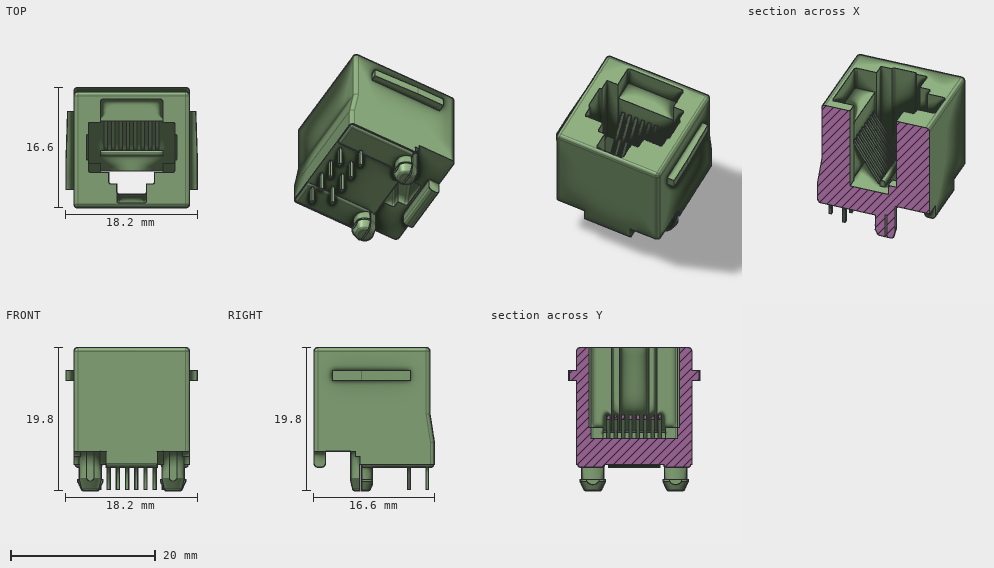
import cadquery as cq
import math


BODY_WIDTH = 15.97
BODY_HEIGHT = 16.54
OVERALL_HEIGHT = 19.81
BASE_DEPTH = 16.64
UPPER_DEPTH = 16.03
SLOPE_TOP = 7.39
SLOPE_BOTTOM = 3.45
EDGE_RADIUS = 0.55
UNDERSIDE = 0.38
FRONT_UNDERSIDE = 2.19
FRONT_RECESS_DEPTH = 5.74
SIDE_RECESS_DEPTH = 6.36
SIDE_RECESS_TOP = 1.49

RAIL_OUTER_INSET = 0.19
RAIL_BACK_INSET = 0.12
RAIL_WIDTH = 3.72
RAIL_RADIUS = 0.33
TONGUE_WIDTH = 7.06
TONGUE_DEPTH = 1.6

OVERALL_WIDTH = 18.16
RIB_BACK_HALF_WIDTH = 8.86
RIB_BOTTOM = 11.95
RIB_HEIGHT = 1.41
RIB_FRONT = 2.54
RIB_TAPER_START = 6.59
RIB_BACK = 13.33

PLUG_HALF_WIDTH = 5.95
PLUG_FRONT = 4.92
PLUG_BACK = 11.79
PLUG_RADIUS = 0.25
PLUG_BACK_RADIUS = 0.15
GROOVE_HALF_WIDTH = 6.26
GROOVE_FRONT = 6.58
GROOVE_BACK = 10.17
GROOVE_RADIUS = 0.3
SHELF_HALF_WIDTH = 4.3
SHELF_FRONT = 12.03
SHELF_BACK = 15.02
SHELF_LEVEL = 13.2
SHELF_RADIUS = 0.35
KEY_HALF_WIDTH = 3.14
KEY_FRONT = 3.33
LATCH_HALF_WIDTH = 2.04
LATCH_FRONT_TOP = 0.67
LATCH_FRONT_BOTTOM = 2.1
LATCH_RADIUS = 0.36
LEDGE_LEVEL = 5.5
LEDGE_BACK = 6.13
FLOOR_LEVEL = 4.0
FLOOR_FRONT = 5.08

CONTACT_COUNT = 8
CONTACT_PITCH = 1.016
CONTACT_WIDTH = 0.47
CONTACT_THICKNESS = 0.36
CONTACT_TOP = 10.42
CONTACT_FRONT = 7.92
COMB_FRONT = 7.19
COMB_BACK = CONTACT_FRONT
COMB_TOP = 5.0
COMB_RADIUS = 0.33
COMB_TILT = math.radians(30)

PIN_PITCH = 1.27
PIN_WIDTH = CONTACT_WIDTH
PIN_THICKNESS = 0.37
PIN_BOTTOM = -3.1
PIN_FRONT_ROW = 13.13
PIN_BACK_ROW = 15.65

PEG_OFFSET = 5.715
PEG_Y = 6.54
PEG_RADIUS = 1.545
PEG_BOTTOM = BODY_HEIGHT - OVERALL_HEIGHT
PEG_FLAT_Y = 5.08
PEG_TAPER_START = -1.57
PEG_TIP_RADIUS = 1.14
PEG_TIP_FILLET = 0.4
PEG_SPLIT_FRONT = SIDE_RECESS_DEPTH
PEG_SPLIT_BACK = 6.59
BARB_RADIUS = 1.76
BARB_TOP = -1.69
BARB_LIP_BOTTOM = -1.96

BODY_HALF_WIDTH = BODY_WIDTH / 2


def block(x, y, z):
    """Box spanning the given (low, high) range on each axis."""
    size = [high - low for low, high in (x, y, z)]
    return cq.Workplane("XY").box(*size, centered=False).translate((x[0], y[0], z[0]))


def side_prism(outline, width):
    """Extrude a closed YZ outline symmetrically about the plane X = 0."""
    return outline.extrude(width / 2, both=True)


def centered_block(half_width, y, z):
    """Box symmetric about the plane X = 0."""
    return block((-half_width, half_width), y, z)


def shell():
    """Outer housing with its leaning back wall, rounded edges and stepped front underside."""
    profile = cq.Workplane("YZ").polyline([
        (0, UNDERSIDE),
        (0, BODY_HEIGHT),
        (UPPER_DEPTH, BODY_HEIGHT),
        (UPPER_DEPTH, SLOPE_TOP),
        (BASE_DEPTH, SLOPE_BOTTOM),
        (BASE_DEPTH, UNDERSIDE),
    ]).close()
    body = side_prism(profile, BODY_WIDTH)
    back_corners = cq.selectors.BoxSelector(
        (-BODY_WIDTH, UPPER_DEPTH - EDGE_RADIUS, UNDERSIDE + EDGE_RADIUS),
        (BODY_WIDTH, BASE_DEPTH + EDGE_RADIUS, BODY_HEIGHT - EDGE_RADIUS),
    )
    upright_back = body.edges(back_corners).edges("not |X")
    body = body.newObject(
        upright_back.vals() + body.edges("|Z and <Y").vals() + body.faces(">Z").edges().vals()
    ).fillet(EDGE_RADIUS)
    front_recess = centered_block(
        BODY_WIDTH, (-EDGE_RADIUS, FRONT_RECESS_DEPTH), (0, FRONT_UNDERSIDE))
    body = body.cut(front_recess)
    for outer, inner in ((-BODY_WIDTH, -PEG_OFFSET), (PEG_OFFSET, BODY_WIDTH)):
        body = body.cut(block((outer, inner), (0, SIDE_RECESS_DEPTH), (0, SIDE_RECESS_TOP)))
    return body


def rail():
    """Standoff rail under the left side wall, behind the peg split."""
    left = RAIL_OUTER_INSET - BODY_HALF_WIDTH
    bar = block(
        (left, left + RAIL_WIDTH),
        (PEG_SPLIT_BACK, BASE_DEPTH - RAIL_BACK_INSET),
        (0, UNDERSIDE),
    )
    bar = bar.edges("|Z and >Y").fillet(RAIL_RADIUS)
    return bar.faces("<Z").edges("not <Y").fillet(RAIL_RADIUS)


def tongue():
    """Rounded front foot between the pegs."""
    bar = centered_block(TONGUE_WIDTH / 2, (0, TONGUE_DEPTH), (0, FRONT_UNDERSIDE))
    return bar.faces("<Z").edges("|X").fillet(EDGE_RADIUS)


def panel_ribs():
    """Plate through both side walls whose protruding ends are the ribs."""
    half = OVERALL_WIDTH / 2
    outline = cq.Workplane("XY").workplane(offset=RIB_BOTTOM).polyline([
        (-half, RIB_FRONT),
        (half, RIB_FRONT),
        (half, RIB_TAPER_START),
        (RIB_BACK_HALF_WIDTH, RIB_BACK),
        (-RIB_BACK_HALF_WIDTH, RIB_BACK),
        (-half, RIB_TAPER_START),
    ]).close()
    return outline.extrude(RIB_HEIGHT)


def cavity():
    """Everything removed for the plug, from the shelf at the back to the latch slot."""
    above = BODY_HEIGHT + EDGE_RADIUS
    plug = centered_block(PLUG_HALF_WIDTH, (PLUG_FRONT, PLUG_BACK), (LEDGE_LEVEL, above))
    plug = plug.edges("|Z and <Y").fillet(PLUG_RADIUS)
    plug = plug.edges("|Z and >Y").fillet(PLUG_BACK_RADIUS)
    groove = centered_block(GROOVE_HALF_WIDTH, (GROOVE_FRONT, GROOVE_BACK), (LEDGE_LEVEL, above))
    groove = groove.edges("|Z").fillet(GROOVE_RADIUS)
    shelf = centered_block(SHELF_HALF_WIDTH, (PLUG_BACK, SHELF_BACK), (SHELF_LEVEL, above))
    shelf = shelf.edges("|Z and >Y").fillet(SHELF_RADIUS)
    contact_bay = centered_block(SHELF_HALF_WIDTH, (FLOOR_FRONT, SHELF_FRONT), (FLOOR_LEVEL, above))
    floor = centered_block(PLUG_HALF_WIDTH, (LEDGE_BACK, PLUG_BACK), (FLOOR_LEVEL, above))
    floor = floor.edges("|Z and <Y").fillet(PLUG_RADIUS)
    floor = floor.edges("|Z and >Y").fillet(PLUG_BACK_RADIUS)
    floor_gap = centered_block(SHELF_HALF_WIDTH, (PLUG_FRONT, FLOOR_FRONT), (0, LEDGE_LEVEL))
    key = centered_block(KEY_HALF_WIDTH, (KEY_FRONT, FLOOR_FRONT), (0, above))
    key = key.edges("|Z and <Y").fillet(PLUG_RADIUS)
    latch_outline = cq.Workplane("YZ").polyline([
        (LATCH_FRONT_TOP, BODY_HEIGHT),
        (FLOOR_FRONT, BODY_HEIGHT),
        (FLOOR_FRONT, 0),
        (LATCH_FRONT_BOTTOM, 0),
    ]).close()
    latch = side_prism(latch_outline, 2 * LATCH_HALF_WIDTH)
    latch = latch.faces("<Y").edges("not |X").fillet(LATCH_RADIUS)
    space = plug
    for part in (groove, shelf, contact_bay, floor, floor_gap, key, latch):
        space = space.union(part)
    return space


def contact():
    """Inclined spring contact running from the back wall down to the floor."""
    run = SHELF_FRONT - CONTACT_FRONT
    drop = CONTACT_TOP - FLOOR_LEVEL
    setback = CONTACT_THICKNESS * math.hypot(run, drop) / drop
    outline = cq.Workplane("YZ").polyline([
        (SHELF_FRONT, CONTACT_TOP),
        (CONTACT_FRONT, FLOOR_LEVEL),
        (CONTACT_FRONT + setback, FLOOR_LEVEL),
        (SHELF_FRONT + setback, CONTACT_TOP),
    ]).close()
    return side_prism(outline, CONTACT_WIDTH)


def comb():
    """Low bar in front of the contacts: rounded front, top falling away to the back."""
    center_y = COMB_FRONT + COMB_RADIUS
    center_z = COMB_TOP - COMB_RADIUS
    tangent_y = center_y + COMB_RADIUS * math.sin(COMB_TILT)
    tangent_z = center_z + COMB_RADIUS * math.cos(COMB_TILT)
    middle = math.pi / 4 - COMB_TILT / 2
    outline = (
        cq.Workplane("YZ")
        .moveTo(COMB_FRONT, FLOOR_LEVEL)
        .lineTo(COMB_FRONT, center_z)
        .threePointArc(
            (center_y - COMB_RADIUS * math.sin(middle), center_z + COMB_RADIUS * math.cos(middle)),
            (tangent_y, tangent_z),
        )
        .lineTo(COMB_BACK, tangent_z - (COMB_BACK - tangent_y) * math.tan(COMB_TILT))
        .lineTo(COMB_BACK, FLOOR_LEVEL)
        .close()
    )
    return side_prism(outline, 2 * SHELF_HALF_WIDTH)


def pin():
    """Straight solder pin below the housing underside."""
    return cq.Workplane("XY").box(
        PIN_WIDTH, PIN_THICKNESS, UNDERSIDE - PIN_BOTTOM, centered=(True, True, False)
    ).translate((0, 0, PIN_BOTTOM))


def turned(profile):
    """Revolve (radius, z) points about the peg axis."""
    return (
        cq.Workplane("XZ")
        .polyline(profile)
        .close()
        .revolve(360, (0, 0), (0, 1))
        .translate((0, PEG_Y, 0))
    )


def peg():
    """Split peg: a flatted tapered front half and a barbed back half."""
    tip = [(PEG_TIP_RADIUS, PEG_BOTTOM), (0, PEG_BOTTOM)]
    front = turned([
        (0, FRONT_UNDERSIDE),
        (PEG_RADIUS, FRONT_UNDERSIDE),
        (PEG_RADIUS, PEG_TAPER_START),
    ] + tip)
    front = front.faces("<Z").edges().fillet(PEG_TIP_FILLET).intersect(centered_block(
        BARB_RADIUS, (PEG_FLAT_Y, PEG_SPLIT_FRONT), (PEG_BOTTOM, FRONT_UNDERSIDE)))
    back = turned([
        (0, UNDERSIDE),
        (PEG_RADIUS, UNDERSIDE),
        (PEG_RADIUS, BARB_TOP),
        (BARB_RADIUS, BARB_TOP),
        (BARB_RADIUS, BARB_LIP_BOTTOM),
    ] + tip)
    back = back.faces("<Z").edges().fillet(PEG_TIP_FILLET).intersect(centered_block(
        BARB_RADIUS, (PEG_SPLIT_BACK, PEG_Y + PEG_RADIUS), (PEG_BOTTOM, UNDERSIDE)))
    return front, back


def assemble():
    left_rail = rail()
    part = shell().union(tongue()).union(panel_ribs())
    part = part.union(left_rail).union(left_rail.mirror("YZ"))
    part = part.cut(cavity()).union(comb())
    for side in (-1, 1):
        for half in peg():
            part = part.union(half.translate((side * PEG_OFFSET, 0, 0)))
    for index in range(CONTACT_COUNT):
        position = index - (CONTACT_COUNT - 1) / 2
        row = PIN_BACK_ROW if index % 2 else PIN_FRONT_ROW
        part = part.union(contact().translate((position * CONTACT_PITCH, 0, 0)))
        part = part.union(pin().translate((position * PIN_PITCH, row, 0)))
    return part


result = assemble()